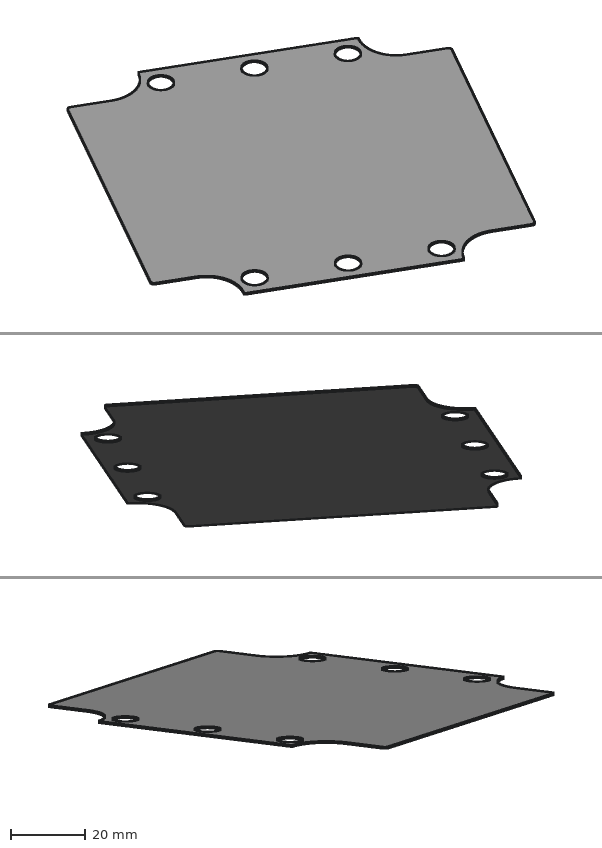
import cadquery as cq

length_x = 108.0
width_y = 107.0
thickness = 0.5

notch_depth_x = 11.0
side_edge_length = 61.3
notch_radius = 10.4
end_corner_radius = 1.1
side_corner_radius = 0.4

hole_diameter = 7.0
hole_row_spacing = 95.3
hole_pitch = 26.0
holes_per_row = 3

notch_depth_y = (width_y - side_edge_length) / 2


def corner_notches():
    """Four corner blocks whose inner corner is rounded."""
    return (
        cq.Workplane("XY")
        .rect(length_x, width_y, forConstruction=True)
        .vertices()
        .rect(2 * notch_depth_x, 2 * notch_depth_y)
        .extrude(thickness)
        .edges("|Z")
        .fillet(notch_radius)
    )


def plate_blank():
    """Plate with notched corners and all its outer corners slightly rounded."""
    notched = cq.Workplane("XY").box(length_x, width_y, thickness, centered=(True, True, False))
    notched = notched.cut(corner_notches())
    end_corners = notched.edges("|Z and (<Y or >Y)")
    notched = end_corners.fillet(end_corner_radius)
    side_corners = notched.edges("|Z and (<X or >X)")
    return side_corners.fillet(side_corner_radius)


result = (
    plate_blank()
    .faces(">Z")
    .workplane(origin=(0, 0, thickness))
    .rarray(hole_row_spacing, hole_pitch, 2, holes_per_row)
    .hole(hole_diameter)
)